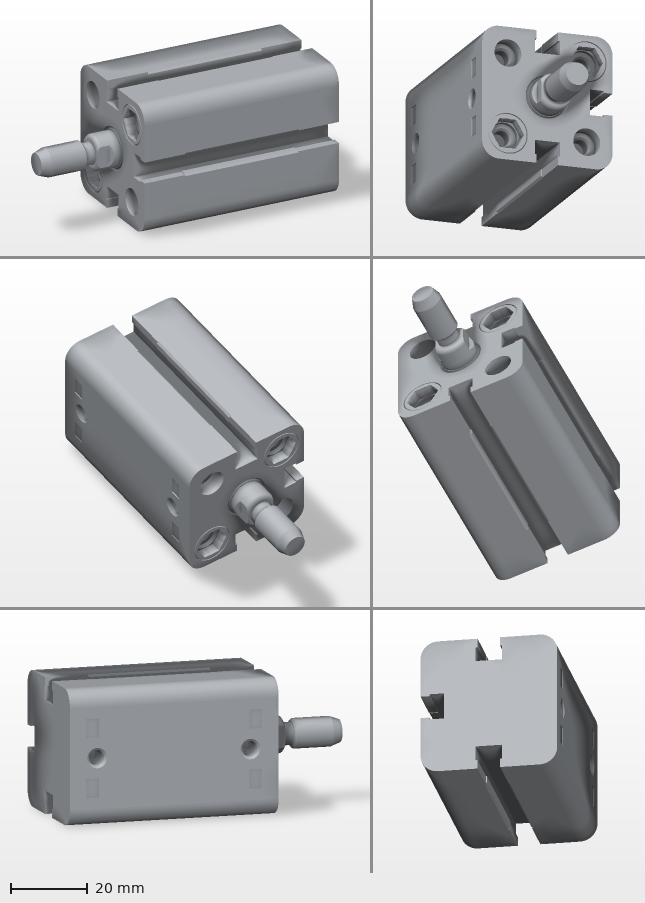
import cadquery as cq
import math


total_length = 79.6
body_side = 36.3
body_length = 57.2
front_cap_length = 12.0
rear_cap_length = 11.8
corner_radius = 4.6

slot_depth = 6.2
slot_lip = 2.4
slot_inner_width = 7.0
cap_mouth_width = 6.0
barrel_mouth_width = 5.5
mouth_chamfer = 0.55

corner_offset = 11.0
plain_hole_diameter = 7.5
plain_hole_depth = 4.45
thread_diameter = 4.1
thread_depth = 4.0
thread_chamfer = 0.55

hex_flats = 7.9
hex_depth = 2.95
hex_relief_diameter = 8.0
socket_hole_diameter = 7.6
socket_depth = 4.2
groove_outer_diameter = 11.1
groove_inner_diameter = 10.5
groove_depth = 0.5

port_diameter = 4.1
port_chamfer = 0.6
port_depth = 6.4
front_port_setback = 7.7
rear_port_setback = 7.5
passage_height = 3.1
label_length = 3.35
label_height = 5.2
label_depth = 0.2
label_offset = 7.95
front_label_setback = 6.4
rear_label_setback = 6.1

rod_diameter = 10.0
rod_shoulder = 6.5
shoulder_fillet = 1.2
neck_diameter = 6.05
neck_end = 9.1
shoulder_root_radius = 0.15
stud_root_radius = 0.4
stud_chamfer = 0.55
stud_diameter = 8.0
tip_diameter = 6.1
tip_length = 2.7
flat_width = 8.0
flat_start = 3.0

piston_diameter = 20.0
front_wall = 5.6
rear_wall = 6.05

wiper_mouth_diameter = 12.0
wiper_groove_diameter = 11.4
wiper_lip_diameter = 10.9
wiper_tip_diameter = 10.5
wiper_groove_depth = 0.5

half_side = body_side / 2
front_seam = front_cap_length
rear_seam = body_length - rear_cap_length
rod_tip = body_length - total_length
piston_end = body_length - rear_wall
front_port_y = front_port_setback
rear_port_y = body_length - rear_port_setback
hex_corners = hex_flats / math.cos(math.pi / 6)
socket_corners = [(corner_offset, corner_offset), (-corner_offset, -corner_offset)]
plain_corners = [(-corner_offset, corner_offset), (corner_offset, -corner_offset)]


def plane_at(y):
    """Sketch plane at y with local x along +X and local y along +Z; it extrudes towards -Y."""
    return cq.Plane(origin=(0, y, 0), xDir=(1, 0, 0), normal=(0, -1, 0))


def cylinder(diameter, y_start, y_end, x=0, z=0):
    """Cylinder along Y."""
    return cq.Workplane(plane_at(y_end)).center(x, z).circle(diameter / 2).extrude(y_end - y_start)


def cone(diameter_start, diameter_end, y_start, y_end, x=0, z=0):
    """Truncated cone along Y."""
    return cq.Workplane("XY").add(
        cq.Solid.makeCone(
            diameter_start / 2, diameter_end / 2, y_end - y_start, cq.Vector(x, y_start, z), cq.Vector(0, 1, 0)
        )
    )


def slot_cutter(y_start, y_end, mouth_width, chamfer):
    """T-slot cut into the top side."""
    half_mouth = mouth_width / 2
    half_inner = slot_inner_width / 2
    floor = half_side - slot_depth
    lip = half_side - slot_lip
    right_half = [
        (half_inner, floor),
        (half_inner, lip),
        (half_mouth, lip),
        (half_mouth, half_side - chamfer),
        (half_mouth + chamfer, half_side),
    ]
    if chamfer == 0:
        right_half.pop()
    left_half = [(-x, z) for x, z in reversed(right_half)]
    return cq.Workplane(plane_at(y_end)).polyline(right_half + left_half).close().extrude(y_end - y_start)


def profile(y_start, y_end, mouth_width, chamfer):
    """Length of the rounded square section with its three T-slots."""
    length = y_end - y_start
    section = cq.Workplane(plane_at(y_end)).rect(body_side, body_side).extrude(length)
    section = section.edges("|Y").fillet(corner_radius)
    cutter = slot_cutter(y_start, y_end, mouth_width, chamfer)
    for angle in (0, 90, 180):
        section = section.cut(cutter.rotate((0, 0, 0), (0, 1, 0), angle))
    return section


def threaded_hole(y, x, z):
    """Blind hole with a countersunk mouth, running in +Y from y."""
    countersink = cone(thread_diameter + 2 * thread_chamfer, thread_diameter, y, y + thread_chamfer, x, z)
    return cylinder(thread_diameter, y, y + thread_depth, x, z).union(countersink)


def hex_socket(x, z):
    """Tapered ring groove, hexagon recess relieved at its flats, and the round hole behind it."""
    groove = cylinder(groove_outer_diameter, 0, groove_depth, x, z)
    groove = groove.cut(cone(groove_inner_diameter, groove_outer_diameter, 0, groove_depth, x, z))
    hexagon = cq.Workplane(plane_at(hex_depth)).center(x, z).polygon(6, hex_corners).extrude(hex_depth)
    relief = cylinder(hex_relief_diameter, 0, hex_depth, x, z)
    hole = cylinder(socket_hole_diameter, 0, socket_depth, x, z)
    return groove.union(hexagon).union(relief).union(hole)


def wiper_groove():
    """Chamfered ring groove around the rod hole, tapered on its inner side."""
    chamfer = (wiper_mouth_diameter - wiper_groove_diameter) / 2
    groove = cylinder(wiper_groove_diameter, 0, wiper_groove_depth)
    groove = groove.union(cone(wiper_mouth_diameter, wiper_groove_diameter, 0, chamfer))
    return groove.cut(cone(wiper_tip_diameter, wiper_lip_diameter, 0, wiper_groove_depth))


def port(y, passage_start, passage_end):
    """Air port in the -X side with a flat passage that leads on to the piston."""
    hole = cq.Workplane("YZ", origin=(-half_side, y, 0)).circle(port_diameter / 2).extrude(port_depth)
    countersink = cq.Workplane("XY").add(
        cq.Solid.makeCone(
            port_diameter / 2 + port_chamfer, port_diameter / 2, port_chamfer,
            cq.Vector(-half_side, y, 0), cq.Vector(1, 0, 0),
        )
    )
    passage = cq.Workplane("XY").box(
        half_side - port_depth, passage_end - passage_start, passage_height, centered=(False, False, True)
    ).translate((port_depth - half_side, passage_start, 0))
    return hole.union(countersink).union(passage)


def labels(y):
    """Two shallow label recesses, above and below a port."""
    return (
        cq.Workplane("YZ", origin=(-half_side, y, 0))
        .pushPoints([(0, label_offset), (0, -label_offset)])
        .rect(label_length, label_height)
        .extrude(label_depth)
    )


def make_front_cap():
    cap = profile(0, front_seam, cap_mouth_width, 0)
    cap = cap.cut(cylinder(rod_diameter, 0, front_wall))
    cap = cap.cut(cylinder(piston_diameter, front_wall, front_seam))
    cap = cap.cut(wiper_groove())
    for x, z in socket_corners:
        cap = cap.cut(hex_socket(x, z)).cut(threaded_hole(socket_depth, x, z))
    for x, z in plain_corners:
        cap = cap.cut(cylinder(plain_hole_diameter, 0, plain_hole_depth, x, z))
        cap = cap.cut(threaded_hole(plain_hole_depth, x, z))
    port_radius = port_diameter / 2
    cap = cap.cut(port(front_port_y, front_port_y - port_radius, front_port_y + port_radius))
    return cap.cut(labels(front_label_setback))


def make_barrel():
    barrel = profile(front_seam, rear_seam, barrel_mouth_width, mouth_chamfer)
    barrel = barrel.cut(cylinder(piston_diameter, front_seam, rear_seam))
    return barrel


def make_rear_cap():
    cap = profile(rear_seam, body_length, cap_mouth_width, 0)
    cap = cap.cut(cylinder(piston_diameter, rear_seam, piston_end))
    cap = cap.cut(port(rear_port_y, rear_port_y - port_diameter / 2, piston_end))
    return cap.cut(labels(body_length - rear_label_setback))


def make_rod():
    shaft = cylinder(rod_diameter, -rod_shoulder, front_wall).faces("<Y").edges().fillet(shoulder_fillet)
    flat_cut = (
        cq.Workplane("XY")
        .polyline([
            (flat_width / 2, -rod_shoulder),
            (flat_width / 2, -flat_start),
            (rod_diameter / 2, -flat_start + (rod_diameter - flat_width) / 2),
            (rod_diameter / 2, -rod_shoulder),
        ])
        .close()
        .extrude(rod_diameter / 2, both=True)
    )
    shaft = shaft.cut(flat_cut).cut(flat_cut.mirror("YZ"))
    neck_radius = neck_diameter / 2
    stud_radius = stud_diameter / 2
    stud = (
        cq.Workplane("XY")
        .moveTo(0, -rod_shoulder)
        .lineTo(neck_radius + shoulder_root_radius, -rod_shoulder)
        .radiusArc((neck_radius, -rod_shoulder - shoulder_root_radius), -shoulder_root_radius)
        .lineTo(neck_radius, -neck_end + stud_root_radius)
        .radiusArc((neck_radius + stud_root_radius, -neck_end), -stud_root_radius)
        .lineTo(stud_radius - stud_chamfer, -neck_end)
        .lineTo(stud_radius, -neck_end - stud_chamfer)
        .lineTo(stud_radius, rod_tip + tip_length)
        .lineTo(tip_diameter / 2, rod_tip)
        .lineTo(0, rod_tip)
        .close()
        .revolve(360, (0, 0, 0), (0, 1, 0))
    )
    piston = cylinder(piston_diameter, front_wall, piston_end)
    return shaft.union(stud).union(piston)


front_cap = make_front_cap()
barrel = make_barrel()
rear_cap = make_rear_cap()
rod = make_rod()

result = cq.Compound.makeCompound([front_cap.val(), barrel.val(), rear_cap.val(), rod.val()])